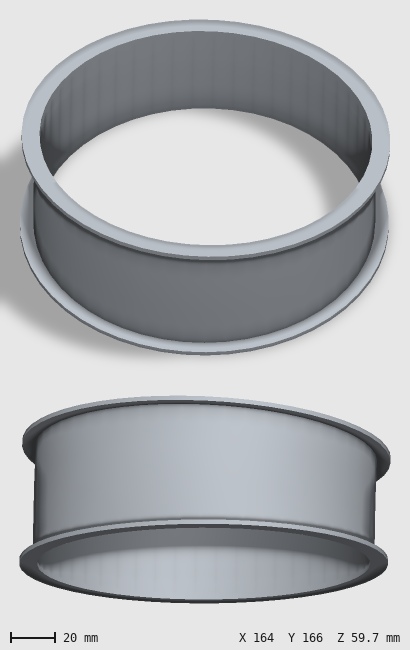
import cadquery as cq
import math

BORE_DIAMETER = 148.0
WALL = 2.0
FLANGE_DIAMETER = 164.0
FLANGE_THICKNESS = 2.0
BEND_ANGLE = 5.0
BEND_RADIUS = 603.3

TUBE_DIAMETER = BORE_DIAMETER + 2 * WALL


def centreline_point(angle):
    """Return (Y, Z) on the bend centreline, which starts at the origin and leans toward +Y."""
    turn = math.radians(angle)
    return (BEND_RADIUS * (1 - math.cos(turn)), BEND_RADIUS * math.sin(turn))


def bent_cylinder(diameter):
    """Sweep a disc along the bend from the bottom end to the top end."""
    centreline = (
        cq.Workplane("YZ")
        .moveTo(*centreline_point(0))
        .threePointArc(centreline_point(BEND_ANGLE / 2), centreline_point(BEND_ANGLE))
    )
    return cq.Workplane("XY").circle(diameter / 2).sweep(centreline)


def flange_disc(angle, thickness):
    """Disc square to the bend at the given angle; a negative thickness extends back toward the start."""
    turn = math.radians(angle)
    end_plane = cq.Plane(
        origin=(0, *centreline_point(angle)),
        xDir=(1, 0, 0),
        normal=(0, math.sin(turn), math.cos(turn)),
    )
    return cq.Workplane(end_plane).circle(FLANGE_DIAMETER / 2).extrude(thickness)


bottom_flange = flange_disc(0, FLANGE_THICKNESS)
top_flange = flange_disc(BEND_ANGLE, -FLANGE_THICKNESS)
body = bent_cylinder(TUBE_DIAMETER).union(bottom_flange).union(top_flange)
result = body.cut(bent_cylinder(BORE_DIAMETER))